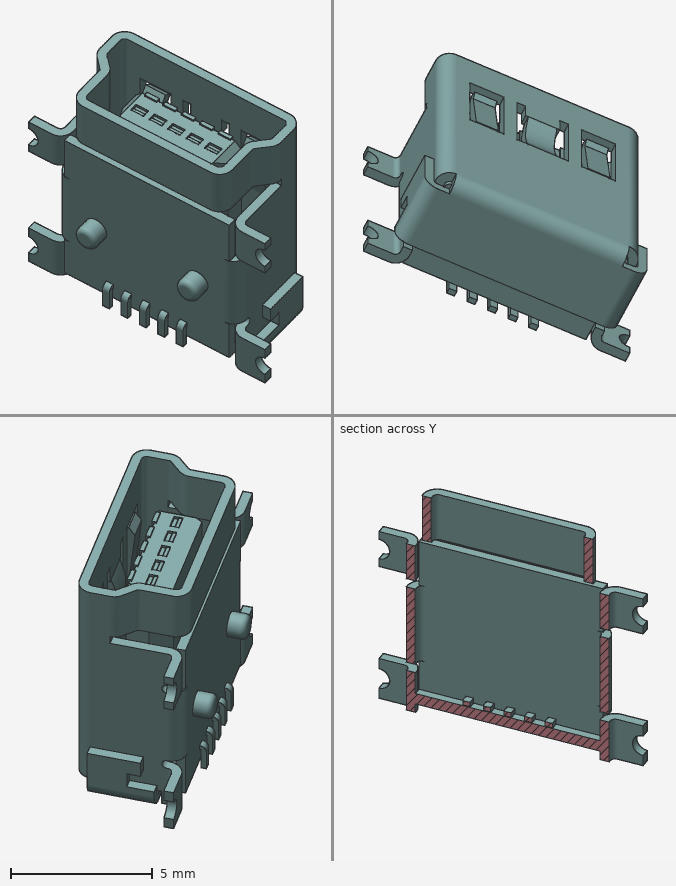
import cadquery as cq
import math


sheet = 0.36
bend_inner = 0.19
bend_outer = bend_inner + sheet
diagonal = math.sqrt(0.5)
shell_half = 3.94
shell_depth = 3.95
shell_height = 9.3
inner_half = shell_half - sheet
inner_back = shell_depth - sheet

mouth_bottom = 7.39
body_top = 7.08
neck_half = 3.32
step_y = 2.43
step_angle = math.radians(45)
mouth_cut_y = 2.66

span_half = 5.12
lower_foot_top = 1.69
upper_foot_bottom = 5.6
relief = 0.36
relief_depth = 0.76
foot_notch_radius = 0.41
clip_tip = 3.08
clip_bottom = lower_foot_top + relief
clip_top = upper_foot_bottom - relief

side_wall_front = 0.78
cover_front = 0.93
ear_outer = 4.35
ear_top = 2.07
ear_front = 1.44
ear_notch_back = 1.94
ear_notch_bottom = 0.84
ear_notch_top = 1.46

window_bottom = 4.95
window_top = 7.65
side_spring_x = 2.18
side_window_width = 1.33
side_spring_width = 0.86
spring_reach = 0.23
root_ridge = 0.03
spring_crest_z = 7.14
spring_tip_z = 7.46
spring_tip_y = 3.59
center_spring_half = 0.67
center_bow_half = 0.56
center_bow_top = 6.97
center_slot_outer = 1.0

floor_top = 0.82
peg_x = 2.19
peg_z = 3.41
peg_radius = 0.46
peg_length = 0.7
peg_rounding = 0.19

tongue_top = 8.29
tongue_half = 2.3
tongue_front_half = 1.85
tongue_front = 0.93
tongue_shoulder = 1.7
tongue_back = 2.54
tongue_lead_in = 0.29

contact_pitch = 0.8
contact_count = 5
contact_x = [contact_pitch * (i - (contact_count - 1) / 2) for i in range(contact_count)]
pin_width = 0.3
pin_thickness = 0.2
pin_front = -0.25
pin_top = 1.04
pin_bend = -pin_front
blade_width = 0.53
blade_rise = 0.06
blade_front = 2.46
blade_back = 2.62
blade_length = 0.82
pocket_front = 1.64
pocket_step = 1.79
pocket_back = 1.96
pocket_shallow = 0.05
pocket_deep = 0.1


def block(x0, x1, y0, y1, z0, z1):
    """Axis-aligned box between two corners."""
    return cq.Workplane("XY").box(x1 - x0, y1 - y0, z1 - z0, centered=False).translate((x0, y0, z0))


def both_sides(solid):
    """The solid together with its mirror image across X = 0."""
    return solid.union(solid.mirror("YZ"), clean=False)


def slab(half, y0, y1, z0, z1):
    """Box centred on X = 0."""
    return block(-half, half, y0, y1, z0, z1)


def make_mouth_core(inset, convex_radius, concave_radius):
    """Filled mouth outline moved inward by inset; its sides step in towards the front."""
    neck = neck_half - inset
    side = shell_half - inset
    shoulder_y = step_y + inset * math.tan(step_angle / 2)
    neck_y = shoulder_y - (shell_half - neck_half) / math.tan(step_angle)
    right = [
        (neck, inset),
        (neck, neck_y),
        (side, shoulder_y),
        (side, shell_depth - inset),
    ]
    left = [(-x, y) for x, y in reversed(right)]
    height = shell_height - mouth_bottom
    core = cq.Workplane("XY").workplane(offset=mouth_bottom).polyline(right + left).close().extrude(height)
    mid_z = (mouth_bottom + shell_height) / 2
    for x, y in right + left:
        radius = concave_radius if y == neck_y else convex_radius
        core = core.edges(cq.selectors.NearestToPointSelector((x, y, mid_z))).fillet(radius)
    return core


def make_mouth():
    """Closed ring at the top of the shell."""
    return make_mouth_core(0, bend_outer, bend_inner).cut(make_mouth_core(sheet, bend_inner, bend_outer))


def make_wall():
    """Back wall and side walls below the mouth, without the feet and clips."""
    outer = slab(shell_half, bend_outer, shell_depth, 0, mouth_bottom)
    outer = outer.edges("|Z and >Y").fillet(bend_outer)
    inner = slab(inner_half, 0, inner_back, 0, mouth_bottom)
    inner = inner.edges("|Z and >Y").fillet(bend_inner)
    wall = outer.cut(inner)
    wall = wall.cut(slab(shell_half, 0, mouth_cut_y, body_top, mouth_bottom))
    wall = wall.cut(slab(shell_half, side_wall_front, shell_depth, 0, bend_outer))
    slot_radius = relief / 2
    slot_end = relief_depth - slot_radius
    for z0 in (lower_foot_top, upper_foot_bottom - relief):
        wall = wall.cut(slab(shell_half, 0, slot_end, z0, z0 + relief))
        end = cq.Workplane("YZ").center(slot_end, z0 + slot_radius).circle(slot_radius)
        wall = wall.cut(end.extrude(shell_half, both=True))
    return wall


def make_bend(direction, tip, z0, z1):
    """Front edge of the +X side wall bent outward (+1) or inward (-1) up to X = tip."""
    convex = inner_half if direction > 0 else shell_half
    concave = shell_half if direction > 0 else inner_half
    center = convex + direction * bend_outer

    def mid(radius):
        return (center - direction * radius * diagonal, bend_outer - radius * diagonal)

    return (
        cq.Workplane("XY").workplane(offset=z0)
        .moveTo(convex, bend_outer)
        .threePointArc(mid(bend_outer), (center, 0))
        .lineTo(tip, 0)
        .lineTo(tip, sheet)
        .lineTo(center, sheet)
        .threePointArc(mid(bend_inner), (concave, bend_outer))
        .close()
        .extrude(z1 - z0)
    )


def make_foot(z0, z1):
    """Solder foot with a half-round notch in its outer edge."""
    notch = cq.Workplane("XZ").center(span_half, (z0 + z1) / 2).circle(foot_notch_radius).extrude(-sheet)
    return make_bend(1, span_half, z0, z1).cut(notch)


def make_cover():
    """Bottom cover folded from the back wall, with ears folded up along the sides."""
    fold_half = shell_half - bend_outer
    fold_back = shell_depth - bend_outer
    fold = (
        cq.Workplane("YZ")
        .moveTo(fold_back, 0)
        .threePointArc(
            (fold_back + bend_outer * diagonal, bend_outer - bend_outer * diagonal),
            (shell_depth, bend_outer),
        )
        .lineTo(inner_back, bend_outer)
        .lineTo(inner_back, sheet)
        .lineTo(fold_back, sheet)
        .close()
        .extrude(fold_half, both=True)
    )
    tray = slab(ear_outer, cover_front, fold_back, 0, ear_top)
    tray = tray.edges("|Y and <Z").fillet(bend_outer)
    hollow = slab(ear_outer - sheet, cover_front, fold_back, sheet, ear_top)
    hollow = hollow.edges("|Y and <Z").fillet(bend_inner)
    tray = tray.cut(hollow)
    tray = tray.cut(slab(ear_outer, cover_front, ear_front, ear_notch_bottom, ear_top))
    tray = tray.cut(slab(ear_outer, cover_front, ear_notch_back, ear_notch_bottom, ear_notch_top))
    return fold.union(tray)


def make_side_spring():
    """Leaf rooted at the bottom of its window, leaning inward, its tip flared back."""
    crest_y = inner_back - spring_reach
    rise = spring_tip_z - spring_crest_z
    run = spring_tip_y - crest_y
    flare = math.hypot(run, rise)
    profile = [
        (inner_back, window_bottom),
        (shell_depth + root_ridge, window_bottom),
        (crest_y + sheet, spring_crest_z - run * sheet / flare / 2),
        (spring_tip_y + rise * sheet / flare, spring_tip_z - run * sheet / flare),
        (spring_tip_y, spring_tip_z),
        (crest_y, spring_crest_z),
    ]
    leaf = cq.Workplane("YZ").polyline(profile).close().extrude(side_spring_width / 2, both=True)
    return leaf.translate((side_spring_x, 0, 0))


def make_center_bow():
    """Lower part of the center spring, bowed into the mouth."""
    middle = (window_bottom + center_bow_top) / 2
    return (
        cq.Workplane("YZ")
        .moveTo(inner_back, window_bottom)
        .threePointArc((inner_back - spring_reach, middle), (inner_back, center_bow_top))
        .lineTo(shell_depth, center_bow_top)
        .threePointArc((shell_depth - spring_reach, middle), (shell_depth, window_bottom))
        .close()
        .extrude(center_bow_half, both=True)
    )


def make_shell():
    """Complete sheet-metal shell; unions are left unclean to keep the seams between the parts."""
    shell = make_mouth().union(make_wall())
    window_half = side_window_width / 2
    window = slab(window_half, inner_back, shell_depth, window_bottom, window_top)
    shell = shell.cut(both_sides(window.translate((side_spring_x, 0, 0))))
    shell = shell.cut(slab(center_slot_outer, inner_back, shell_depth, window_bottom, center_bow_top))
    slot = block(center_spring_half, center_slot_outer, inner_back, shell_depth, center_bow_top, window_top)
    shell = shell.cut(both_sides(slot))
    side_parts = [
        make_foot(0, lower_foot_top),
        make_foot(upper_foot_bottom, body_top),
        make_bend(-1, clip_tip, clip_bottom, clip_top),
        make_side_spring(),
    ]
    for part in side_parts:
        shell = shell.union(both_sides(part), clean=False)
    return shell.union(make_center_bow(), clean=False).union(make_cover(), clean=False)


def make_tongue():
    """Mouth tongue with slanted front corners, side lead-ins and contact pockets."""
    right = [
        (tongue_front_half, tongue_front),
        (tongue_half, tongue_shoulder),
        (tongue_half, tongue_back),
    ]
    left = [(-x, y) for x, y in reversed(right)]
    tongue = cq.Workplane("XY").workplane(offset=sheet).polyline(right + left).close().extrude(tongue_top - sheet)
    lead_in = (
        cq.Workplane("XZ")
        .moveTo(tongue_half, tongue_top)
        .lineTo(tongue_half - tongue_lead_in, tongue_top)
        .lineTo(tongue_half, tongue_top - tongue_lead_in)
        .close()
        .extrude(-tongue_back)
    )
    tongue = tongue.cut(both_sides(lead_in))
    half = blade_width / 2
    for x in contact_x:
        shallow = block(x - half, x + half, pocket_front, pocket_step, tongue_top - pocket_shallow, tongue_top)
        deep = block(x - half, x + half, pocket_step, pocket_back, tongue_top - pocket_deep, tongue_top)
        tongue = tongue.cut(shallow).cut(deep)
        blade_top = tongue_top + blade_rise
        blade = block(x - half, x + half, blade_front, blade_back, blade_top - blade_length, blade_top)
        tongue = tongue.union(blade)
    return tongue


def make_housing():
    """Front plate with locating pegs, floor and tongue."""
    plate = slab(inner_half, 0, sheet, sheet, body_top)
    clip_seat = block(clip_tip, inner_half, 0, sheet, clip_bottom, clip_top)
    plate = plate.cut(both_sides(clip_seat))
    floor = slab(inner_half, 0, inner_back, sheet, floor_top)
    floor = floor.edges("|Z and >Y").fillet(bend_inner)
    peg = cq.Workplane("XZ").center(peg_x, peg_z).circle(peg_radius).extrude(peg_length)
    peg = peg.faces("<Y").edges().fillet(peg_rounding)
    return plate.union(floor).union(both_sides(peg)).union(make_tongue())


def make_pin(x):
    """Contact tail running over the floor, through the plate and down in front of it."""
    half = pin_width / 2
    pin = block(x - half, x + half, pin_front, tongue_front, 0, pin_top)
    pin = pin.edges("|X and <Y and >Z").fillet(pin_bend)
    return pin.cut(block(x - half, x + half, pin_front + pin_thickness, tongue_front, 0, pin_top - pin_thickness))


result = make_housing()
for x in contact_x:
    result = result.union(make_pin(x))
result = result.union(make_shell(), clean=False)